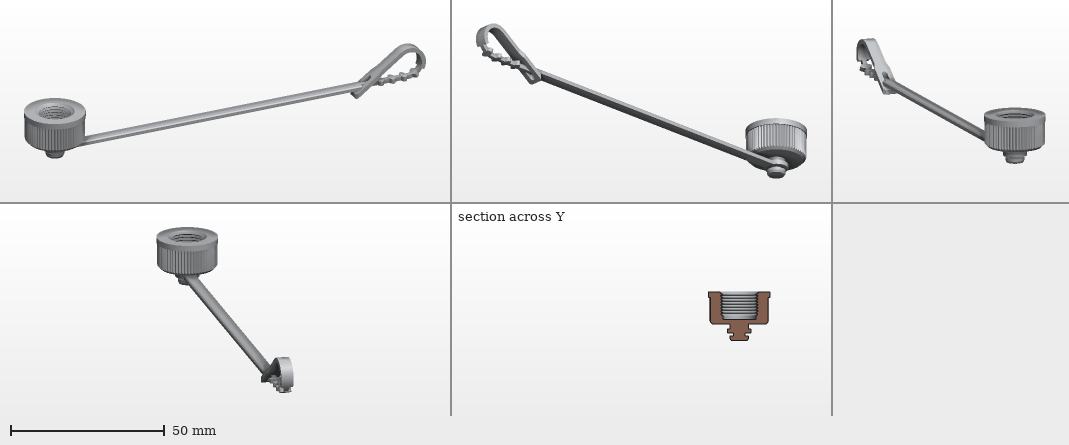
import cadquery as cq
import math


rim_radius = 10.0
rim_height = 2.0
body_radius = 9.8
cap_height = 10.5
base_chamfer = 1.1
rib_count = 60
rib_depth = 0.43

thread_minor_radius = 5.3
thread_major_radius = 6.0
mouth_radius = 6.4
thread_pitch = 1.0
bore_depth = 8.8

strap_heading = 57.2
strap_width = 4.0
strap_thickness = 1.5
strap_bottom = -13.5
strap_edge_chamfer = 0.4
strap_ring_radius = 3.9
strap_mid = strap_bottom + strap_thickness / 2

rivet_radius = 3.1
rivet_pin_radius = 2.0
rivet_head_top = -14.2
rivet_head_edge = -15.1
rivet_tip_radius = 2.7
rivet_bottom = -15.8

loop_reach = 132.4
loop_radius = 5.8
loop_inner_radius = loop_radius - strap_thickness
loop_x = loop_reach - loop_radius
loop_z = strap_bottom + loop_radius
shoulder_angle = -28

arm_slope = 35.5
arm_bottom = -16.2
foot_length = 0.4
tip_rounding = 0.2
pad_width = 5.3
pad_corner = 0.7
pad_end_x = 114.9
pad_taper_length = 1.8
slot_width = 1.8
slot_start_x = 108.3
slot_end_x = 113.5

neck_start_x = 109.5
neck_width = 1.5
bead_length = 2.2
bead_pitch = 4.2
flat_bead_count = 3
arc_bead_count = 1
first_bead_x = 116.7
bead_rise = 0.1


def disc(radius, z_bottom, z_top):
    return cq.Workplane("XY").workplane(offset=z_bottom).circle(radius).extrude(z_top - z_bottom)


def make_body():
    """Ribbed barrel with a plain rim, all but the bore."""
    body = disc(body_radius, -cap_height, -rim_height).faces("<Z").chamfer(base_chamfer)
    half_pitch = math.radians(180 / rib_count)
    groove_edge = body_radius / math.cos(half_pitch)
    groove_half = body_radius * math.tan(half_pitch)
    root_radius = body_radius - rib_depth
    groove = (
        cq.Workplane("XY")
        .workplane(offset=-cap_height)
        .polyline([(root_radius, 0), (groove_edge, -groove_half), (groove_edge, groove_half)])
        .close()
        .extrude(cap_height - rim_height)
        .val()
    )
    axis_start = cq.Vector(0, 0, 0)
    axis_end = cq.Vector(0, 0, 1)
    grooves = [groove.rotate(axis_start, axis_end, i * 360 / rib_count) for i in range(rib_count)]
    body = cq.Workplane(body.val().cut(*grooves))
    return body.union(disc(rim_radius, -rim_height, 0))


def make_bore():
    """Revolved cutter: chamfered mouth and ring-shaped thread grooves."""
    mouth_depth = mouth_radius - thread_major_radius
    groove_count = int((bore_depth - mouth_depth) / thread_pitch)
    points = [(0, 0), (mouth_radius, 0)]
    for i in range(groove_count):
        groove_top = -mouth_depth - i * thread_pitch
        points.append((thread_major_radius, groove_top))
        points.append((thread_minor_radius, groove_top - thread_pitch / 2))
    points += [(thread_minor_radius, -bore_depth), (0, -bore_depth)]
    return cq.Workplane("XZ").polyline(points).close().revolve(360, (0, 0), (0, 1))


def make_rivet():
    profile = [
        (0, -cap_height),
        (rivet_radius, -cap_height),
        (rivet_radius, strap_mid),
        (rivet_pin_radius, strap_mid),
        (rivet_pin_radius, rivet_head_top),
        (rivet_radius, rivet_head_top),
        (rivet_radius, rivet_head_edge),
        (rivet_tip_radius, rivet_bottom),
        (0, rivet_bottom),
    ]
    return cq.Workplane("XZ").polyline(profile).close().revolve(360, (0, 0), (0, 1))


def make_flat_strap():
    strap = (
        cq.Workplane("XY")
        .box(neck_start_x, strap_width, strap_thickness, centered=(False, True, True))
        .translate((0, 0, strap_mid))
        .edges("|X and >Z")
        .chamfer(strap_edge_chamfer)
    )
    return strap.union(disc(strap_ring_radius, strap_bottom, strap_bottom + strap_thickness))


def loop_point(radius, angle):
    """Point (X, Z) on the loop, with the angle in degrees from the farthest point."""
    turn = math.radians(angle)
    return (loop_x + radius * math.cos(turn), loop_z + radius * math.sin(turn))


def loop_arc(start_angle, end_angle, width):
    mid_angle = (start_angle + end_angle) / 2
    return (
        cq.Workplane("XZ")
        .moveTo(*loop_point(loop_radius, start_angle))
        .threePointArc(loop_point(loop_radius, mid_angle), loop_point(loop_radius, end_angle))
        .lineTo(*loop_point(loop_inner_radius, end_angle))
        .threePointArc(loop_point(loop_inner_radius, mid_angle), loop_point(loop_inner_radius, start_angle))
        .close()
        .extrude(width / 2, both=True)
    )


def make_arm():
    """Straight arm tangent to the loop, with a wide slotted pad at its end."""
    slope = math.tan(math.radians(arm_slope))
    outer_x, outer_z = loop_point(loop_radius, 90 + arm_slope)
    inner_x, inner_z = loop_point(loop_inner_radius, 90 + arm_slope)
    foot_x = inner_x - (inner_z - arm_bottom) / slope
    tip_x = foot_x - foot_length
    tip_top = outer_z - (outer_x - tip_x) * slope
    side_profile = [
        (outer_x, outer_z),
        (inner_x, inner_z),
        (foot_x, arm_bottom),
        (tip_x, arm_bottom),
        (tip_x, tip_top),
    ]
    arm = (
        cq.Workplane("XZ")
        .polyline(side_profile)
        .close()
        .extrude(pad_width / 2, both=True)
        .edges("|Y and <X")
        .fillet(tip_rounding)
    )
    taper_end_x = pad_end_x + pad_taper_length
    half_outline = [
        (tip_x, pad_width / 2 - pad_corner),
        (tip_x + pad_corner, pad_width / 2),
        (pad_end_x, pad_width / 2),
        (taper_end_x, strap_width / 2),
        (loop_reach, strap_width / 2),
    ]
    outline = half_outline + [(x, -y) for x, y in reversed(half_outline)]
    plan = cq.Workplane("XY").workplane(offset=arm_bottom).polyline(outline).close().extrude(-arm_bottom)
    slot = (
        cq.Workplane("XY")
        .workplane(offset=arm_bottom)
        .center((slot_start_x + slot_end_x) / 2, 0)
        .slot2D(slot_end_x - slot_start_x, slot_width)
        .extrude(-arm_bottom)
    )
    return arm.intersect(plan).cut(slot)


def make_neck():
    """Narrow strip through the slot and up the loop, with beads at an even pitch."""
    neck = (
        cq.Workplane("XY")
        .box(loop_x - neck_start_x, neck_width, strap_thickness, centered=(False, True, True))
        .translate((neck_start_x, 0, strap_mid))
        .union(loop_arc(-90, shoulder_angle, neck_width))
    )
    bead = (
        cq.Workplane("XY")
        .workplane(offset=strap_bottom)
        .ellipse(bead_length / 2, strap_width / 2)
        .extrude(strap_thickness + bead_rise)
    )
    for i in range(flat_bead_count):
        neck = neck.union(bead.translate((first_bead_x + i * bead_pitch, 0, 0)))

    bend_radius = loop_radius - strap_thickness / 2
    for i in range(flat_bead_count, flat_bead_count + arc_bead_count):
        arc_length = first_bead_x + i * bead_pitch - loop_x
        turn = math.degrees(arc_length / bend_radius)
        arc_bead = bead.translate((loop_x, 0, 0))
        neck = neck.union(arc_bead.rotate((loop_x, 0, loop_z), (loop_x, -1, loop_z), turn))
    return neck


cap = make_body().cut(make_bore()).union(make_rivet())
strap = (
    make_flat_strap()
    .union(make_neck())
    .union(loop_arc(shoulder_angle, 90 + arm_slope, strap_width))
    .union(make_arm())
    .rotate((0, 0, 0), (0, 0, 1), strap_heading)
)
result = cap.union(strap)